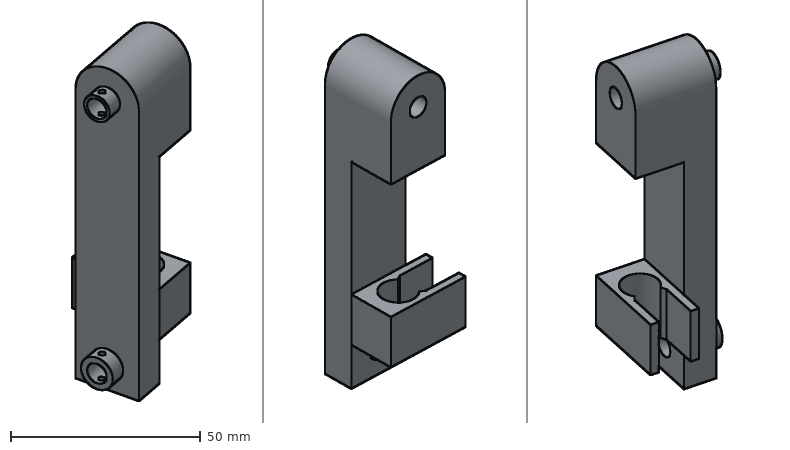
import cadquery as cq
import math

arm_height = 102.0
arm_width = 20.0
arm_thickness = 10.0
head_depth = 25.0
head_height = 30.0
top_radius = arm_width / 2

sleeve_length = 5.0
bore_diameter = 6.1
cross_hole_diameter = 1.8
upper_sleeve_diameter = 8.1
lower_sleeve_diameter = 10.0
upper_sleeve_z = arm_height - top_radius
lower_sleeve_z = 8.0

clip_reach = 17.5
clip_bottom_z = 14.0
clip_height = 16.0
clip_front_y = arm_thickness
clip_back_y = head_depth
clip_center_y = (clip_front_y + clip_back_y) / 2
clip_right_x = arm_width / 2
prong_thickness = 2.5
seat_radius = 5.5
lip_height = 0.9
lip_start_x = -5.4


def cylinder_along_y(diameter, start_y, end_y, center_z):
    """Cylinder parallel to Y, centred on X = 0."""
    return (
        cq.Workplane("XZ", origin=(0, start_y, center_z))
        .circle(diameter / 2)
        .extrude(start_y - end_y)
    )


def make_arm():
    profile = (
        cq.Workplane("XZ")
        .moveTo(-arm_width / 2, 0)
        .lineTo(arm_width / 2, 0)
        .lineTo(arm_width / 2, upper_sleeve_z)
        .threePointArc((0, arm_height), (-arm_width / 2, upper_sleeve_z))
        .close()
    )
    arm = profile.extrude(-head_depth)

    relief = cq.Workplane("XY").box(
        arm_width, head_depth - arm_thickness, arm_height - head_height, centered=(True, False, False)
    )
    arm = arm.cut(relief.translate((0, arm_thickness, 0)))

    sleeves = (
        (upper_sleeve_diameter, upper_sleeve_z),
        (lower_sleeve_diameter, lower_sleeve_z),
    )
    for diameter, center_z in sleeves:
        arm = arm.union(cylinder_along_y(diameter, -sleeve_length, 0, center_z))
        arm = arm.cut(cylinder_along_y(bore_diameter, -sleeve_length, head_depth, center_z))

        cross_hole = (
            cq.Workplane("XY", origin=(0, -sleeve_length / 2, center_z))
            .circle(cross_hole_diameter / 2)
            .extrude(diameter / 2, both=True)
        )
        arm = arm.cut(cross_hole)
    return arm


def make_clip():
    prong_half_gap = (clip_back_y - clip_front_y) / 2 - prong_thickness
    throat_half_gap = prong_half_gap - lip_height
    lip_end_x = -math.sqrt(seat_radius**2 - throat_half_gap**2)

    block = cq.Workplane("XY").box(
        clip_reach + clip_right_x, clip_back_y - clip_front_y, clip_height, centered=False
    )
    block = block.translate((-clip_reach, clip_front_y, clip_bottom_z))

    seat = (
        cq.Workplane("XY", origin=(0, clip_center_y, clip_bottom_z))
        .moveTo(-clip_reach, -prong_half_gap)
        .lineTo(lip_start_x, -prong_half_gap)
        .lineTo(lip_end_x, -throat_half_gap)
        .threePointArc((seat_radius, 0), (lip_end_x, throat_half_gap))
        .lineTo(lip_start_x, prong_half_gap)
        .lineTo(-clip_reach, prong_half_gap)
        .close()
        .extrude(clip_height)
    )
    return block.cut(seat)


arm = make_arm()
clip = make_clip()
result = cq.Compound.makeCompound([arm.val(), clip.val()])